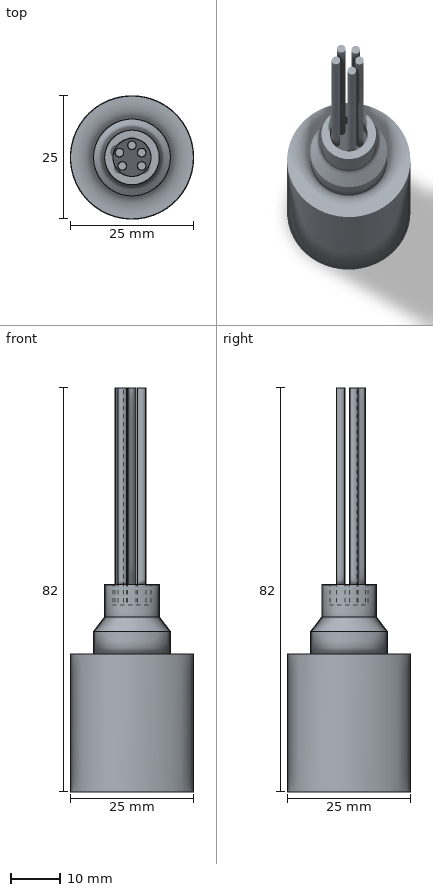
import cadquery as cq

total_height = 82.0
wire_length = 39.9

body_diameter = 25.0
body_height = 28.05

shoulder_diameter = 15.6
shoulder_height = 4.5
taper_height = 2.95
collar_diameter = 11.1
collar_top = total_height - wire_length

recess_diameter = 7.7
recess_depth = 4.1

wire_diameter = 1.7
wire_centers = [
    (0.0, 2.5),
    (2.0, 1.0),
    (-2.55, 1.0),
    (-2.0, -1.7),
    (2.0, -1.7),
]


def make_housing():
    """Revolve the body, shoulder, taper and collar as one profile."""
    body_radius = body_diameter / 2
    shoulder_radius = shoulder_diameter / 2
    collar_radius = collar_diameter / 2
    shoulder_top = body_height + shoulder_height
    taper_top = shoulder_top + taper_height
    profile = (
        cq.Workplane("XZ")
        .lineTo(body_radius, 0)
        .lineTo(body_radius, body_height)
        .lineTo(shoulder_radius, body_height)
        .lineTo(shoulder_radius, shoulder_top)
        .lineTo(collar_radius, taper_top)
        .lineTo(collar_radius, collar_top)
        .lineTo(0, collar_top)
        .close()
    )
    return profile.revolve(360, (0, 0), (0, 1))


def make_recess():
    """Cylinder removed from the collar top."""
    recess = cq.Workplane("XY").workplane(offset=collar_top - recess_depth)
    return recess.circle(recess_diameter / 2).extrude(recess_depth)


def make_wires():
    """Straight wires standing on the recess floor."""
    floor = cq.Workplane("XY").workplane(offset=collar_top - recess_depth)
    wires = floor.pushPoints(wire_centers).circle(wire_diameter / 2)
    return wires.extrude(recess_depth + wire_length)


result = make_housing().cut(make_recess()).union(make_wires())